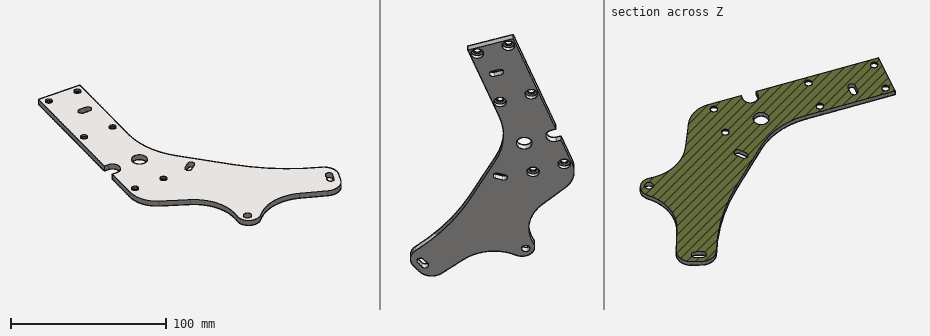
import cadquery as cq
import math

thickness = 4.0
bar_height = 31.0

slope_angle = math.radians(45)
slope_start_x = 82.8
bar_blend_radius = 50.2
arm_blend_radius = 140.0

tip_radius = 9.9
tip_left = (164.6, 116.5)
tip_right = (170.7, 114.5)

tab_radius = 8.0
tab_center = (183.1 - tab_radius, 54.4)
concave_radius = 30.0
upper_concave_y = 82.4
lower_concave_x = 170.7

corner_radius = 20.0
corner_center = (116.8, corner_radius)

screw_diameter = 4.5
counterbore_diameter = 8.0
counterbore_depth = 2.5
screw_columns = (5.0, 50.0, 114.8)
screw_rows = (5.0, 26.2)
tab_hole_diameter = 5.3
tab_hole_center = (176.9, 52.5)
bore_diameter = 10.0
bore_center = (89.2, 23.3)
notch_depth = 8.2

slot_length = 9.3
slot_width = 4.5
slots = (
    ((25.0, 20.0), 90),
    ((111.9, 47.5), -52),
    ((167.4, 119.4), -18),
)


def polar(center, radius, angle):
    return (center[0] + radius * math.cos(angle), center[1] + radius * math.sin(angle))


def point_between(start, end, distance):
    """Point on the ray from start to end, at a distance from start."""
    angle = math.atan2(end[1] - start[1], end[0] - start[0])
    return polar(start, distance, angle)


def tangent_line(center_a, radius_a, center_b, radius_b):
    """End points of the line leaving circle a and joining circle b.

    A positive radius is a circle travelled counterclockwise, a negative one clockwise.
    """
    dx = center_b[0] - center_a[0]
    dy = center_b[1] - center_a[1]
    turn = math.asin((radius_a - radius_b) / math.hypot(dx, dy))
    normal = math.atan2(dy, dx) + turn - math.pi / 2
    return polar(center_a, radius_a, normal), polar(center_b, radius_b, normal)


def arc_to(path, center, radius, end):
    """Continue along the short arc about center to the end point."""
    start = path.val().endPoint() if isinstance(path.val(), cq.Edge) else path.val()
    middle = ((start.x + end[0]) / 2, (start.y + end[1]) / 2)
    return path.threePointArc(point_between(center, middle, radius), end)


def plate_outline():
    reach = concave_radius + tab_radius
    upper_rise = upper_concave_y - tab_center[1]
    upper_concave = (tab_center[0] + math.sqrt(reach**2 - upper_rise**2), upper_concave_y)
    lower_shift = lower_concave_x - tab_center[0]
    lower_concave = (lower_concave_x, tab_center[1] - math.sqrt(reach**2 - lower_shift**2))

    corner_end, lower_start = tangent_line(corner_center, corner_radius, lower_concave, -concave_radius)
    tab_start = point_between(tab_center, lower_concave, tab_radius)
    tab_end = point_between(tab_center, upper_concave, tab_radius)
    upper_end, tip_start = tangent_line(upper_concave, -concave_radius, tip_right, tip_radius)
    tip_edge_start, tip_edge_end = tangent_line(tip_right, tip_radius, tip_left, tip_radius)

    along = (math.cos(slope_angle), math.sin(slope_angle))
    across = (-along[1], along[0])
    tip_offset = (tip_left[0] - slope_start_x, tip_left[1] - bar_height)
    tip_along = tip_offset[0] * along[0] + tip_offset[1] * along[1]
    tip_across = tip_offset[0] * across[0] + tip_offset[1] * across[1]
    center_gap = arm_blend_radius + tip_radius
    slope_length = tip_along - math.sqrt(center_gap**2 - (arm_blend_radius - tip_across) ** 2)
    slope_base = (slope_start_x, bar_height)
    slope_top = polar(slope_base, slope_length, slope_angle)
    arm_blend = polar(slope_top, arm_blend_radius, slope_angle + math.pi / 2)
    tip_end = point_between(tip_left, arm_blend, tip_radius)

    blend_setback = bar_blend_radius * math.tan(slope_angle / 2)
    slope_bottom = polar(slope_base, blend_setback, slope_angle)
    bar_top_end = (slope_start_x - blend_setback, bar_height)
    bar_blend = (bar_top_end[0], bar_height + bar_blend_radius)

    path = cq.Workplane("XY").lineTo(corner_center[0], 0)
    path = arc_to(path, corner_center, corner_radius, corner_end)
    path = path.lineTo(*lower_start)
    path = arc_to(path, lower_concave, concave_radius, tab_start)
    path = path.threePointArc((tab_center[0] + tab_radius, tab_center[1]), tab_end)
    path = arc_to(path, upper_concave, concave_radius, upper_end)
    path = path.lineTo(*tip_start)
    path = arc_to(path, tip_right, tip_radius, tip_edge_start)
    path = path.lineTo(*tip_edge_end)
    path = arc_to(path, tip_left, tip_radius, tip_end)
    path = arc_to(path, arm_blend, arm_blend_radius, slope_top)
    path = path.lineTo(*slope_bottom)
    path = arc_to(path, bar_blend, bar_blend_radius, bar_top_end)
    return path.lineTo(0, bar_height).close()


def round_cutter(centers, diameter, depth):
    """Cylinders rising from the underside."""
    return cq.Workplane("XY").pushPoints(centers).circle(diameter / 2).extrude(depth)


def slot_cutter(center, length, width, angle):
    return cq.Workplane("XY").center(*center).slot2D(length, width, angle).extrude(thickness)


result = plate_outline().extrude(thickness)

screw_centers = [(x, y) for x in screw_columns for y in screw_rows]
result = result.cut(round_cutter(screw_centers, screw_diameter, thickness))
result = result.cut(round_cutter(screw_centers, counterbore_diameter, counterbore_depth))

result = result.cut(round_cutter([tab_hole_center], tab_hole_diameter, thickness))
result = result.cut(round_cutter([bore_center], bore_diameter, thickness))

for slot_center, slot_angle in slots:
    result = result.cut(slot_cutter(slot_center, slot_length, slot_width, slot_angle))

result = result.cut(slot_cutter((bore_center[0], 0), 2 * notch_depth, bore_diameter, 90))